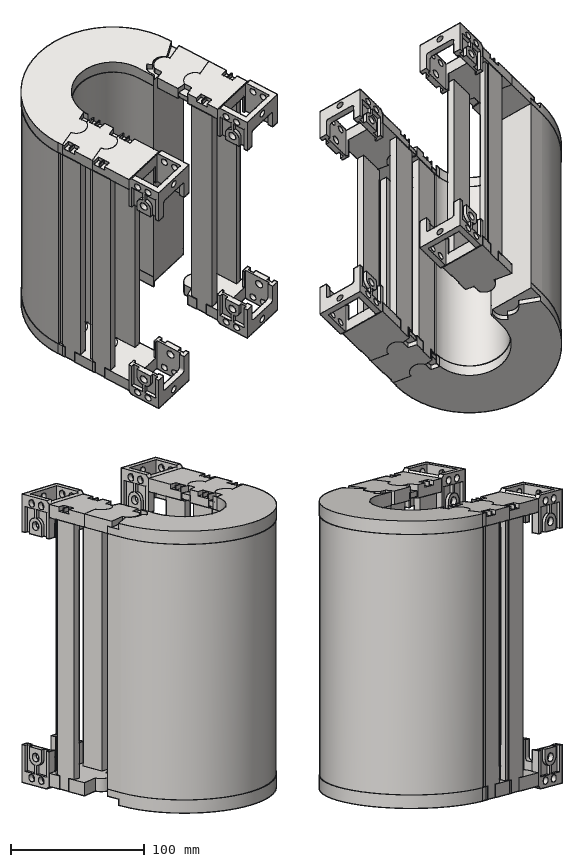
import cadquery as cq


TOTAL_HEIGHT = 225.5
BEND_OUTER_RADIUS = 69.0
RUN_WIDTH = 37.9
BEND_INNER_RADIUS = BEND_OUTER_RADIUS - RUN_WIDTH
RUN_CENTRE = BEND_OUTER_RADIUS - RUN_WIDTH / 2
BRACKET_HALF_WIDTH = RUN_WIDTH / 2
PLATE_SIDE_INSET = 0.2
HALF_WIDTH = BRACKET_HALF_WIDTH - PLATE_SIDE_INSET
PITCH = 28.0

PLATE_TOP = 110.2
PLATE_THICKNESS = 10.4
PLATE_BOTTOM = PLATE_TOP - PLATE_THICKNESS
LAP_DEPTH = 4.7

LOWER_END_JOINT = 36.3
LOWER_MIDDLE_JOINT = LOWER_END_JOINT - PITCH
UPPER_END_JOINT = 33.8
UPPER_MIDDLE_JOINT = UPPER_END_JOINT - PITCH

JOINT_OUTER = (-4.3, -HALF_WIDTH)
JOINT_CORNER = (-7.0, -4.0)
KNUCKLE_START = (-5.5, -3.8)
KNUCKLE_TIP = (0.0, 4.3)
KNUCKLE_END = (-4.5, 11.7)
SOCKET_INNER = (-3.4, HALF_WIDTH)
NOTCH_CORNER = (-10.8, KNUCKLE_END[1])
NOTCH_INNER = (-12.5, HALF_WIDTH)

TONGUE_INSET = 0.7
TONGUE_TOP = PLATE_TOP - LAP_DEPTH
TONGUE_THICKNESS = 4.5

CORE_SHIFT = 0.5
CORE_INSET = 0.11

LAP_END = 14.5
LAP_OUTER_X = 3.0
LAP_SHOULDER = (10.0, 53.6)
LAP_HOLLOW = (4.7, 45.5)
LAP_HOLLOW_END = (6.5, 40.5)
LAP_LIP = (3.0, 38.3)
LAP_SWEEP = (5.6, 34.5)
LAP_SWEEP_END = (10.1, 32.5)

BAR_START = -7.0
BAR_END = 12.5
BAR_STEP = -4.3
BAR_THICKNESS = 6.3
BAR_INSET = 0.5
BAR_STEP_DEPTH = 1.1
BAR_FOOT_START = -1.8
BAR_FOOT_END = 7.2

SLOT_START = -2.7
SLOT_END = 7.2
SLOT_DEPTH = 3.4
SLOT_WIDTH = 5.6
SLOT_RIB_WIDTH = 1.0

BRACKET_LENGTH = PITCH
LOWER_BRACKET_START = 66.3
UPPER_BRACKET_START = 74.2
BRACKET_TOP = TOTAL_HEIGHT / 2
BRACKET_HEIGHT = 29.5
BRACKET_BOTTOM = BRACKET_TOP - BRACKET_HEIGHT
BRACKET_WALL = 4.5
FRONT_WALL = 1.5
COLUMN_WIDTH = 6.3
CHAMFER_HEIGHT = BRACKET_TOP - PLATE_TOP
CHAMFER_LENGTH = 2.5
RECESS_DEPTH = 2.7
RECESS_START = 2.7
RECESS_LENGTH = 22.0
RECESS_TOP = 103.5
STEM_WIDTH = 2.0
BOSS_RADIUS = 6.3
BOSS_HOLE_DIAMETER = 6.5
BOSS_HEIGHT = 90.4
SMALL_HOLE_DIAMETER = 5.6
SMALL_HOLE_HEIGHT = 107.3
SMALL_HOLE_SPACING = 9.7
SMALL_HOLE_OFFSET = 1.0
WINDOW_TOP = 99.2
WINDOW_MARGIN = 1.5
WINDOW_FILLET = 2.3


def block(x_range, y_range, z_range):
    """Box between the given limits."""
    sizes = [limits[1] - limits[0] for limits in (x_range, y_range, z_range)]
    corner = (x_range[0], y_range[0], z_range[0])
    return cq.Workplane("XY").box(*sizes, centered=False).translate(corner)


def shifted(point, x):
    return (point[0] + x, point[1])


def in_lower_run(part):
    """Move a part from the centre line of a run to the lower run."""
    return part.translate((0, -RUN_CENTRE, 0))


def in_upper_run(part):
    """Turn a part from the centre line of a run half round into the upper run."""
    return in_lower_run(part).rotate((0, 0, 0), (0, 0, 1), 180)


def mirrored_pair(part):
    """The part together with its mirror image below the XY plane."""
    return part.union(part.mirror("XY"))




def notch(joint, z_range):
    """Prism that fills the notch beside a knuckle."""
    corners = [KNUCKLE_END, NOTCH_CORNER, NOTCH_INNER, SOCKET_INNER]
    outline = [shifted(corner, joint) for corner in corners]
    prism = cq.Workplane("XY").workplane(offset=z_range[0]).polyline(outline).close()
    return prism.extrude(z_range[1] - z_range[0])


def tongue(joint):
    """Thin strip in the notch, set back from the edge of the run."""
    z_range = (TONGUE_TOP - TONGUE_THICKNESS, TONGUE_TOP)
    edge_x = (joint + NOTCH_INNER[0], joint)
    return notch(joint, z_range).cut(block(edge_x, (HALF_WIDTH - TONGUE_INSET, HALF_WIDTH), z_range))


def plate(start, end, has_socket, has_knuckle):
    """Top plate of a link from start to end, each either a joint or a straight edge."""
    outline = cq.Workplane("XY").workplane(offset=PLATE_BOTTOM)
    if has_socket:
        outline = (
            outline.moveTo(*shifted(JOINT_OUTER, start))
            .lineTo(*shifted(JOINT_CORNER, start))
            .lineTo(*shifted(KNUCKLE_START, start))
            .threePointArc(shifted(KNUCKLE_TIP, start), shifted(KNUCKLE_END, start))
            .lineTo(*shifted(SOCKET_INNER, start))
        )
    else:
        outline = outline.moveTo(start, -HALF_WIDTH).lineTo(start, HALF_WIDTH)
    if has_knuckle:
        outline = (
            outline.lineTo(KNUCKLE_END[0] + end, HALF_WIDTH)
            .lineTo(*shifted(KNUCKLE_END, end))
            .threePointArc(shifted(KNUCKLE_TIP, end), shifted(KNUCKLE_START, end))
            .lineTo(*shifted(JOINT_CORNER, end))
            .lineTo(*shifted(JOINT_OUTER, end))
        )
    else:
        outline = outline.lineTo(end, HALF_WIDTH).lineTo(end, -HALF_WIDTH)
    body = outline.close().extrude(PLATE_THICKNESS)
    if has_knuckle:
        body = body.cut(notch(end, (PLATE_BOTTOM, PLATE_TOP)))
    if has_socket:
        body = body.union(tongue(start))
    return body




def slots(joint):
    """Latch slots in the top plate on both sides of a run, each split by a rib."""
    middle = (SLOT_START + SLOT_END) / 2
    halves = [
        (joint + SLOT_START, joint + middle - SLOT_RIB_WIDTH / 2),
        (joint + middle + SLOT_RIB_WIDTH / 2, joint + SLOT_END),
    ]
    sides = [
        (-HALF_WIDTH, -HALF_WIDTH + SLOT_WIDTH),
        (HALF_WIDTH - SLOT_WIDTH, HALF_WIDTH),
    ]
    cutter = cq.Workplane("XY")
    for x_range in halves:
        for y_range in sides:
            cutter = cutter.add(block(x_range, y_range, (PLATE_TOP - SLOT_DEPTH, PLATE_TOP)))
    return cutter.combine()


def with_crossbars(plates, joint):
    """Cut the latch slots and join the top and bottom plates with two crossbars."""
    body = plates.cut(slots(joint))
    bar_x = (joint + BAR_START, joint + BAR_END)
    step_x = (joint + BAR_START, joint + BAR_STEP)
    foot_x = (joint + BAR_FOOT_START, joint + BAR_FOOT_END)
    bar_z = (-PLATE_BOTTOM, PLATE_BOTTOM)
    outer_face = -HALF_WIDTH + BAR_INSET
    inner_face = HALF_WIDTH - BAR_INSET
    outer_bar = block(bar_x, (outer_face, -HALF_WIDTH + BAR_THICKNESS), bar_z)
    outer_bar = outer_bar.cut(block(step_x, (outer_face, outer_face + BAR_STEP_DEPTH), bar_z))
    inner_bar = block(bar_x, (HALF_WIDTH - BAR_THICKNESS, inner_face), bar_z)
    body = body.union(outer_bar).union(inner_bar)
    foot_z = (-PLATE_TOP, -PLATE_BOTTOM)
    body = body.cut(block(foot_x, (-HALF_WIDTH, outer_face), foot_z))
    return body.cut(block(foot_x, (inner_face, HALF_WIDTH), foot_z))




def side_recess(start):
    """Recess in the outer face at -Y of a bracket, around a stem and a round-topped boss."""
    middle = start + BRACKET_LENGTH / 2
    y_range = (-BRACKET_HALF_WIDTH, -BRACKET_HALF_WIDTH + RECESS_DEPTH)
    recess_x = (start + RECESS_START, start + RECESS_START + RECESS_LENGTH)
    recess = block(recess_x, y_range, (BRACKET_BOTTOM, RECESS_TOP))
    stem = block((middle - STEM_WIDTH / 2, middle + STEM_WIDTH / 2), y_range, (BOSS_HEIGHT, RECESS_TOP))
    boss_foot = block((middle - BOSS_RADIUS, middle + BOSS_RADIUS), y_range, (BRACKET_BOTTOM, BOSS_HEIGHT))
    boss = cq.Workplane("XZ").center(middle, BOSS_HEIGHT).circle(BOSS_RADIUS).extrude(RUN_WIDTH)
    return recess.cut(stem).cut(boss_foot).cut(boss)


def bracket(start):
    """Top end bracket: a square frame, open below the plate on the chain side."""
    end = start + BRACKET_LENGTH
    middle = (start + end) / 2
    full_z = (BRACKET_BOTTOM, BRACKET_TOP)
    inner_half = BRACKET_HALF_WIDTH - BRACKET_WALL
    column_half = BRACKET_HALF_WIDTH - COLUMN_WIDTH
    window_half = inner_half - WINDOW_MARGIN
    body = block((start, end), (-BRACKET_HALF_WIDTH, BRACKET_HALF_WIDTH), full_z)
    chamfer = cq.Workplane("XZ", origin=(0, BRACKET_HALF_WIDTH, 0)).polyline(
        [
            (start, BRACKET_TOP - CHAMFER_HEIGHT),
            (start + CHAMFER_LENGTH, BRACKET_TOP),
            (start, BRACKET_TOP),
        ]
    )
    body = body.cut(chamfer.close().extrude(RUN_WIDTH))
    body = body.cut(block((start + FRONT_WALL, end - BRACKET_WALL), (-inner_half, inner_half), full_z))
    chain_opening = block(
        (start, start + FRONT_WALL), (-column_half, column_half), (BRACKET_BOTTOM, PLATE_BOTTOM)
    )
    window = block((end - BRACKET_WALL, end), (-window_half, window_half), (BRACKET_BOTTOM, WINDOW_TOP))
    body = body.cut(chain_opening).cut(window.edges("|X and >Z").fillet(WINDOW_FILLET))

    recess = side_recess(start)
    body = body.cut(recess).cut(recess.mirror("XZ"))

    across = cq.Workplane("XZ", origin=(0, BRACKET_HALF_WIDTH, 0))
    hole_middle = middle - SMALL_HOLE_OFFSET
    hole_places = [
        (hole_middle - SMALL_HOLE_SPACING / 2, SMALL_HOLE_HEIGHT),
        (hole_middle + SMALL_HOLE_SPACING / 2, SMALL_HOLE_HEIGHT),
    ]
    small_holes = across.pushPoints(hole_places).circle(SMALL_HOLE_DIAMETER / 2).extrude(RUN_WIDTH)
    boss_hole = across.center(middle, BOSS_HEIGHT).circle(BOSS_HOLE_DIAMETER / 2).extrude(RUN_WIDTH)
    end_hole = cq.Workplane("YZ", origin=(end - BRACKET_WALL, 0, SMALL_HOLE_HEIGHT))
    end_hole = end_hole.circle(SMALL_HOLE_DIAMETER / 2).extrude(BRACKET_WALL)
    return body.cut(small_holes).cut(boss_hole).cut(end_hole)




def half_ring(inset, z_range):
    """Half ring on the -X side of the Z axis, drawn in from both edges of the bend."""
    outer = BEND_OUTER_RADIUS - inset
    inner = BEND_INNER_RADIUS + inset
    ring = cq.Workplane("XY").workplane(offset=z_range[0]).circle(outer).circle(inner)
    ring = ring.extrude(z_range[1] - z_range[0])
    return ring.cut(block((0, outer), (-outer, outer), z_range))


def bend_lap():
    """Pocket in the top of the bend plate in which the knuckle of the upper link lies."""
    return (
        cq.Workplane("XY")
        .workplane(offset=PLATE_TOP - LAP_DEPTH)
        .moveTo(LAP_OUTER_X, BEND_OUTER_RADIUS)
        .lineTo(*LAP_SHOULDER)
        .threePointArc(LAP_HOLLOW, LAP_HOLLOW_END)
        .lineTo(*LAP_LIP)
        .threePointArc(LAP_SWEEP, LAP_SWEEP_END)
        .lineTo(LAP_END, LAP_SWEEP_END[1])
        .lineTo(LAP_END, BEND_OUTER_RADIUS)
        .close()
        .extrude(LAP_DEPTH)
    )


def make_bend():
    plate_z = (PLATE_BOTTOM, PLATE_TOP)
    lower_arm = in_lower_run(plate(0, LOWER_MIDDLE_JOINT, False, True))
    upper_arm = block((0, LAP_END), (BEND_INNER_RADIUS, BEND_OUTER_RADIUS), plate_z)
    top_plate = half_ring(0, plate_z).union(lower_arm).union(upper_arm)
    top_plate = top_plate.cut(in_lower_run(notch(LOWER_MIDDLE_JOINT, plate_z)))
    top_plate = top_plate.cut(bend_lap())

    core_z = (-PLATE_BOTTOM, PLATE_BOTTOM)
    core_y = (BEND_INNER_RADIUS + CORE_INSET, BEND_OUTER_RADIUS - CORE_INSET)
    core = half_ring(CORE_INSET, core_z).translate((CORE_SHIFT, 0, 0))
    core = core.union(block((CORE_SHIFT, LAP_END), core_y, core_z))
    return core.union(mirrored_pair(top_plate))


def make_lower_middle_link():
    plates = mirrored_pair(plate(LOWER_MIDDLE_JOINT, LOWER_END_JOINT, True, True))
    return in_lower_run(with_crossbars(plates, LOWER_MIDDLE_JOINT))


def make_lower_end_link():
    plates = mirrored_pair(plate(LOWER_END_JOINT, LOWER_BRACKET_START, True, False))
    link = with_crossbars(plates, LOWER_END_JOINT)
    return in_lower_run(link.union(mirrored_pair(bracket(LOWER_BRACKET_START))))


def make_upper_middle_plate():
    """Plate without crossbars, cut away below where it laps over the bend."""
    body = in_upper_run(plate(-UPPER_END_JOINT, -UPPER_MIDDLE_JOINT, True, True))
    lap = block((0, LAP_END), (0, BEND_OUTER_RADIUS), (PLATE_BOTTOM, PLATE_TOP - LAP_DEPTH))
    return body.cut(lap)


def make_upper_end_link():
    plates = mirrored_pair(plate(-UPPER_BRACKET_START, -UPPER_END_JOINT, False, True))
    link = in_upper_run(with_crossbars(plates, -UPPER_END_JOINT - PITCH))
    brackets = mirrored_pair(bracket(UPPER_BRACKET_START)).translate((0, RUN_CENTRE, 0))
    return link.union(brackets)


bend = make_bend()
lower_middle_link = make_lower_middle_link()
lower_end_link = make_lower_end_link()
upper_middle_plate = make_upper_middle_plate()
upper_end_link = make_upper_end_link()

bodies = [bend, lower_middle_link, lower_end_link, upper_middle_plate, upper_end_link]
result = cq.Compound.makeCompound([body.solids().val() for body in bodies])